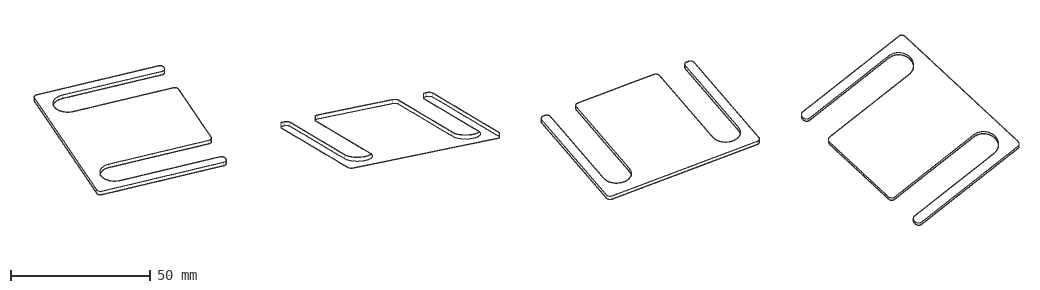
import cadquery as cq

length = 63.0
depth = 50.0
thickness = 1.6
corner_radius = 1.5

arm_width = 3.65
slot_width = 10.65
slot_floor = 4.6

slot_radius = slot_width / 2
slot_center_x = length / 2 - arm_width - slot_radius
slot_center_y = -depth / 2 + slot_floor + slot_radius
back_y = depth / 2


def open_slot(center_x):
    """Slot with a round inner end, open through the back edge."""
    left = center_x - slot_radius
    right = center_x + slot_radius
    return (
        cq.Workplane("XY")
        .moveTo(left, back_y)
        .lineTo(left, slot_center_y)
        .threePointArc((center_x, slot_center_y - slot_radius), (right, slot_center_y))
        .lineTo(right, back_y)
        .close()
        .extrude(thickness)
    )


plate = cq.Workplane("XY").rect(length, depth).extrude(thickness)
for center_x in (-slot_center_x, slot_center_x):
    plate = plate.cut(open_slot(center_x))

outer_corners = plate.edges("|Z").edges("<Y or >Y")
result = outer_corners.fillet(corner_radius)